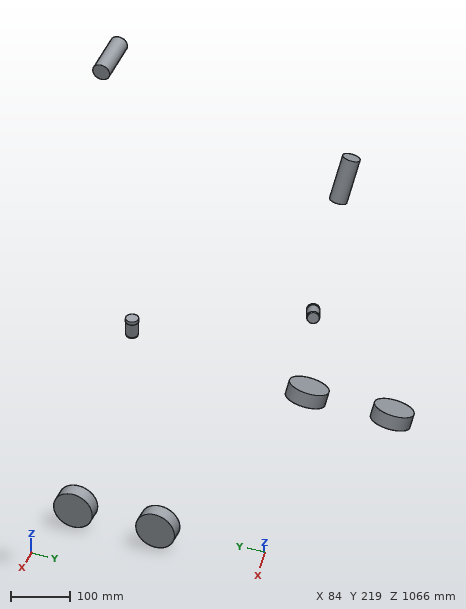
import cadquery as cq

TOTAL_HEIGHT = 1066.0

WHEEL_DIAMETER = 70.0
WHEEL_WIDTH = 26.0
WHEEL_SPACING = 149.0

ROLLER_DIAMETER = 31.0
ROLLER_START_X = 2.0
ROLLER_END_X = 84.0

PIN_X = 66.0
PIN_Y = 49.0
PIN_TOP_Z = 519.0
PIN_LENGTH = 36.0
PIN_HEAD_DIAMETER = 23.0
PIN_HEAD_HEIGHT = 6.0
PIN_SHANK_DIAMETER = 22.0
PIN_TOP_DIAMETER = 22.0
PIN_TIP_DIAMETER = 20.0
PIN_CHAMFER_HEIGHT = 3.0


def make_x_cylinder(diameter, start_x, end_x, y, z):
    """Cylinder along X between two X positions."""
    return (
        cq.Workplane("YZ", origin=(start_x, y, z))
        .circle(diameter / 2)
        .extrude(end_x - start_x)
    )


def make_wheel(y):
    """Disc standing on Z = 0, with its outer face on X = 0."""
    return make_x_cylinder(WHEEL_DIAMETER, 0, WHEEL_WIDTH, y, WHEEL_DIAMETER / 2)


def make_roller():
    """Bar whose top touches the overall height."""
    axis_z = TOTAL_HEIGHT - ROLLER_DIAMETER / 2
    return make_x_cylinder(ROLLER_DIAMETER, ROLLER_START_X, ROLLER_END_X, 0, axis_z)


def make_headed_pin():
    """Vertical pin turned from a half profile, drawn from the tip up to the head."""
    head_underside = PIN_LENGTH - PIN_HEAD_HEIGHT
    half_profile = [
        (0, 0),
        (PIN_TIP_DIAMETER / 2, 0),
        (PIN_SHANK_DIAMETER / 2, PIN_CHAMFER_HEIGHT),
        (PIN_SHANK_DIAMETER / 2, head_underside),
        (PIN_HEAD_DIAMETER / 2, head_underside),
        (PIN_HEAD_DIAMETER / 2, PIN_LENGTH - PIN_CHAMFER_HEIGHT),
        (PIN_TOP_DIAMETER / 2, PIN_LENGTH),
        (0, PIN_LENGTH),
    ]
    return (
        cq.Workplane("XZ", origin=(PIN_X, PIN_Y, PIN_TOP_Z - PIN_LENGTH))
        .polyline(half_profile)
        .close()
        .revolve(360, (0, 0), (0, 1))
    )


wheels = []
for side in (-1, 1):
    wheels.append(make_wheel(side * WHEEL_SPACING / 2))
roller = make_roller()
headed_pin = make_headed_pin()

result = cq.Compound.makeCompound(
    [*(wheel.val() for wheel in wheels), roller.val(), headed_pin.val()]
)